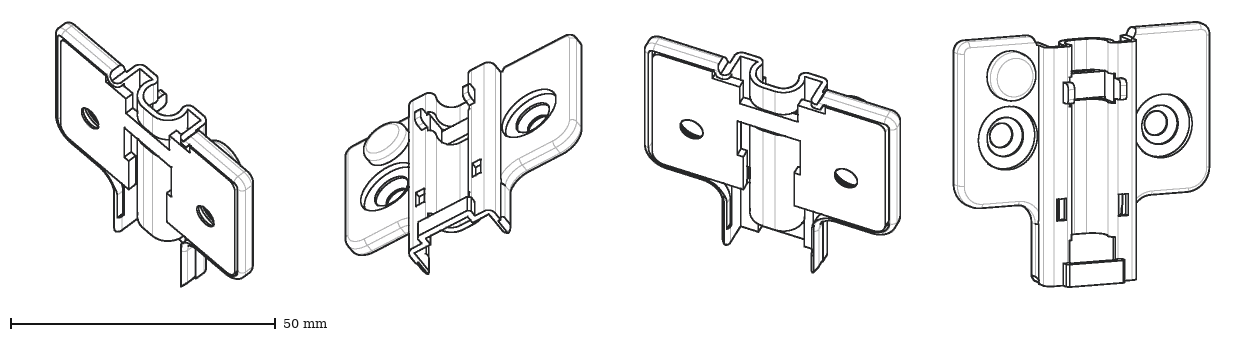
import cadquery as cq
import math

PAN_HALF_WIDTH = 26.0
HEIGHT = 47.5
PAN_DEPTH = 3.55
WALL = 1.15
EDGE_RADIUS = 1.0

PAN_BOTTOM = 15.25
NECK_HALF_WIDTH = 9.95
TOP_CORNER_RADIUS = 2.15
BOTTOM_CORNER_RADIUS = 4.75
NECK_CORNER_RADIUS = 3.8
NECK_OVERRUN = 2.6
NOTCH_RUN = 0.8
NECK_CHAMFER_HEIGHT = 1.3
NECK_CHAMFER_RUN = 0.95
POCKET_DEPTH = 1.8
POCKET_BOTTOM = 4.3

CHANNEL_HALF_WIDTH = 9.55
CHANNEL_INNER = CHANNEL_HALF_WIDTH - WALL
CHANNEL_BACK = 7.0
CHANNEL_TOP = 45.85
CHANNEL_CORNER_RADIUS = 1.5
LIP_RADIUS = 1.35
RAIL_FLOOR = CHANNEL_BACK - WALL
TROUGH_RADIUS = 4.05
TROUGH_FLAT_HALF = 1.25
TROUGH_BOTTOM = 8.55
TROUGH_HALF_WIDTH = TROUGH_FLAT_HALF + TROUGH_RADIUS
FLOOR_RISE = RAIL_FLOOR - TROUGH_RADIUS
FLOOR_EDGE_X = TROUGH_FLAT_HALF + math.sqrt(TROUGH_RADIUS**2 - FLOOR_RISE**2)
LIP_RISE = CHANNEL_BACK - LIP_RADIUS - TROUGH_RADIUS
LIP_REACH = TROUGH_RADIUS - WALL + LIP_RADIUS
LIP_X = TROUGH_FLAT_HALF + math.sqrt(LIP_REACH**2 - LIP_RISE**2)
OPENING_HALF_WIDTH = 4.75

GAP_BOTTOM = 34.25
GAP_TOP = 39.95

WINDOW_INNER = 5.4
WINDOW_OUTER = 7.35
WINDOW_BOTTOM = 12.55

EAR_BACK = 9.3
EAR_THICKNESS = 1.3
EAR_HEIGHT = 3.9
HANDLE_BACK = 8.9
HANDLE_CHAMFER = 0.5

HOLE_DIAMETER = 4.7
HOLE_X = 15.95
HOLE_Z = 28.5
HOLE_LIP = 0.4
COUNTERSINK_DIAMETER = HOLE_DIAMETER + 2 * (POCKET_DEPTH - HOLE_LIP)
PAN_HOLE_DEPTH = 0.45
RELIEF_DIAMETER = 12.15
BOSS_DIAMETER = 9.35
BOSS_X = 15.6
BOSS_Z = 40.55
BOSS_BACK = 6.0

PLATE_HALF_WIDTH = 24.1
PLATE_BOTTOM = 16.7
PLATE_TOP = CHANNEL_TOP
PLATE_TOP_RADIUS = 1.6
PLATE_BOTTOM_RADIUS = 2.4
PLATE_STEP_HALF_WIDTH = 11.65
PLATE_STEP_Z = 44.05
BRIDGE_BOTTOM = 34.65
BRIDGE_TOP = 39.55
PLATE_NOTCH_HALF_WIDTH = 6.05
SLOT_WIDE_HALF = 6.5
SLOT_NARROW_HALF = 5.25
SLOT_STEP_Z = 25.55


def block(x_half, y_range, z_range):
    """Box symmetric in X between the given Y and Z limits."""
    y0, y1 = y_range
    z0, z1 = z_range
    return cq.Workplane("XY").box(2 * x_half, y1 - y0, z1 - z0).translate((0, (y0 + y1) / 2, (z0 + z1) / 2))


def on_both_sides(shape):
    """The shape together with its mirror image across X = 0."""
    return shape.union(shape.mirror("YZ"))


def front_prism(sketch, y0, y1):
    """Extrude a closed outline drawn in X and Z from Y = y0 back to Y = y1."""
    return sketch.extrude(y0 - y1).translate((0, y0, 0))


def arc_point(center, radius, degrees):
    """Point on a circle at an angle measured from the first axis."""
    angle = math.radians(degrees)
    return (center[0] + radius * math.cos(angle), center[1] + radius * math.sin(angle))


def pan_blank(depth, inset=0.0):
    """T-shaped prism with rounded corners that runs on below Z = 0; inset moves every side inward."""
    side = PAN_HALF_WIDTH - inset
    neck = NECK_HALF_WIDTH - inset
    bottom = PAN_BOTTOM + inset
    upper = block(side, (0, depth), (bottom, HEIGHT - inset))
    upper = upper.edges("|Y and >Z").fillet(TOP_CORNER_RADIUS - inset)
    upper = upper.edges("|Y and <Z").fillet(BOTTOM_CORNER_RADIUS - inset)
    blank = upper.union(block(neck, (0, depth), (-NECK_OVERRUN, HEIGHT / 2)))
    zone_half = neck + WALL
    corner_zone = cq.selectors.BoxSelector(
        (-zone_half, 0, bottom - WALL),
        (zone_half, depth, bottom + WALL),
    )
    return blank.edges("|Y").edges(corner_zone).fillet(NECK_CORNER_RADIUS + inset)


def top_notch(widen=0.0, drop=0.0):
    """Trapezoid cut from the top edge above the channel."""
    foot = NECK_HALF_WIDTH + widen
    z_foot = CHANNEL_TOP - drop
    slope = NOTCH_RUN / (HEIGHT - CHANNEL_TOP)
    mouth = foot + slope * (HEIGHT - z_foot)
    corners = [(-mouth, HEIGHT), (-foot, z_foot), (foot, z_foot), (mouth, HEIGHT)]
    return front_prism(cq.Workplane("XZ").polyline(corners).close(), 0, PAN_DEPTH)


def pocket():
    """Recess for the plate, one wall thickness inside the pan outline."""
    slope_angle = math.atan2(NOTCH_RUN, HEIGHT - CHANNEL_TOP)
    widen = WALL * math.tan((math.pi / 2 - slope_angle) / 2)
    recess = pan_blank(POCKET_DEPTH, WALL).cut(top_notch(widen, WALL))
    return recess.cut(block(PAN_HALF_WIDTH, (0, POCKET_DEPTH), (-NECK_OVERRUN, POCKET_BOTTOM)))


def channel_opening():
    """Space between the rails, flared at the front by the rounded inner edges."""
    mouth = CHANNEL_INNER + WALL
    rounding = arc_point((mouth, WALL), WALL, 225)
    half = (
        cq.Workplane("XY")
        .lineTo(mouth, 0)
        .threePointArc(rounding, (CHANNEL_INNER, WALL))
        .lineTo(CHANNEL_INNER, PAN_DEPTH)
        .lineTo(0, PAN_DEPTH)
        .close()
        .extrude(HEIGHT)
    )
    return on_both_sides(half)


def neck_end_chamfer():
    """Wedges that taper the outer sides at the foot of the neck."""
    corners = [
        (NECK_HALF_WIDTH, 0),
        (NECK_HALF_WIDTH - NECK_CHAMFER_RUN, 0),
        (NECK_HALF_WIDTH, NECK_CHAMFER_HEIGHT),
    ]
    wedge = cq.Workplane("XZ").polyline(corners).close()
    return on_both_sides(front_prism(wedge, 0, PAN_DEPTH))


def neck_sides():
    """Sides of the neck, whose back rounding ends where it meets the channel wall."""
    step = NECK_HALF_WIDTH - CHANNEL_HALF_WIDTH
    center_x = NECK_HALF_WIDTH - EDGE_RADIUS
    rise = math.sqrt(EDGE_RADIUS**2 - (EDGE_RADIUS - step) ** 2)
    center = (center_x, PAN_DEPTH - rise)
    end_angle = math.degrees(math.atan2(rise, EDGE_RADIUS - step))
    side = (
        cq.Workplane("XY")
        .moveTo(CHANNEL_INNER, EDGE_RADIUS)
        .lineTo(NECK_HALF_WIDTH, EDGE_RADIUS)
        .lineTo(NECK_HALF_WIDTH, center[1])
        .threePointArc(arc_point(center, EDGE_RADIUS, end_angle / 2), (CHANNEL_HALF_WIDTH, PAN_DEPTH))
        .lineTo(CHANNEL_INNER, PAN_DEPTH)
        .close()
        .extrude(PAN_BOTTOM - NECK_CORNER_RADIUS)
    )
    return on_both_sides(side)


def pan_holes():
    """Stepped round openings behind the screw holes, wider at the back."""
    centers = cq.Workplane("XZ").pushPoints([(-HOLE_X, HOLE_Z), (HOLE_X, HOLE_Z)])
    step = POCKET_DEPTH + PAN_HOLE_DEPTH
    holes = front_prism(centers.circle(COUNTERSINK_DIAMETER / 2), POCKET_DEPTH, step)
    return holes.union(front_prism(centers.circle(RELIEF_DIAMETER / 2), step, PAN_DEPTH))


def pan():
    """Shallow pan with a rounded rim, a neck and a recess for the plate."""
    body = pan_blank(PAN_DEPTH)
    body = body.faces("<Y or >Y").edges().fillet(EDGE_RADIUS)
    body = body.cut(block(NECK_HALF_WIDTH, (0, PAN_DEPTH), (-NECK_OVERRUN, 0)))
    body = body.union(neck_sides())
    return body.cut(top_notch()).cut(pocket()).cut(channel_opening()).cut(pan_holes())


def channel():
    """Box rails and trough, with the gap for the bridge and the open lower end cut out."""
    center = (TROUGH_FLAT_HALF, TROUGH_RADIUS)
    inner_radius = TROUGH_RADIUS - WALL
    floor_angle = math.degrees(math.asin(FLOOR_RISE / TROUGH_RADIUS))
    lip_angle = math.degrees(math.asin(LIP_RISE / LIP_REACH))
    corner_y = CHANNEL_BACK - CHANNEL_CORNER_RADIUS
    lip_center = (LIP_X, CHANNEL_BACK - LIP_RADIUS)
    corner_center = (CHANNEL_HALF_WIDTH - CHANNEL_CORNER_RADIUS, corner_y)
    half = (
        cq.Workplane("XY")
        .lineTo(TROUGH_FLAT_HALF, 0)
        .threePointArc(arc_point(center, TROUGH_RADIUS, (floor_angle - 90) / 2), (FLOOR_EDGE_X, RAIL_FLOOR))
        .lineTo(CHANNEL_INNER, RAIL_FLOOR)
        .lineTo(CHANNEL_INNER, POCKET_DEPTH)
        .lineTo(CHANNEL_HALF_WIDTH, POCKET_DEPTH)
        .lineTo(CHANNEL_HALF_WIDTH, corner_y)
        .threePointArc(arc_point(corner_center, CHANNEL_CORNER_RADIUS, 45), (corner_center[0], CHANNEL_BACK))
        .lineTo(LIP_X, CHANNEL_BACK)
        .threePointArc(
            arc_point(lip_center, LIP_RADIUS, 135),
            arc_point(center, inner_radius, lip_angle),
        )
        .threePointArc(arc_point(center, inner_radius, (lip_angle - 90) / 2), (TROUGH_FLAT_HALF, WALL))
        .lineTo(0, WALL)
        .close()
        .extrude(CHANNEL_TOP)
    )
    body = on_both_sides(half)
    body = body.cut(block(OPENING_HALF_WIDTH, (0, CHANNEL_BACK), (GAP_BOTTOM, GAP_TOP)))
    body = body.cut(block(OPENING_HALF_WIDTH, (0, CHANNEL_BACK), (0, TROUGH_BOTTOM)))
    body = body.cut(block(TROUGH_HALF_WIDTH, (0, RAIL_FLOOR), (0, TROUGH_BOTTOM)))
    return body.cut(rail_windows())


def rail_windows():
    """Rectangular openings just below the plate, one in each rail floor."""
    y_range = (RAIL_FLOOR, CHANNEL_BACK)
    z_range = (WINDOW_BOTTOM, PLATE_BOTTOM)
    return block(WINDOW_OUTER, y_range, z_range).cut(block(WINDOW_INNER, y_range, z_range))


def ears():
    """Rounded lugs on the back of the rails, centred on the gap in the trough."""
    middle = (GAP_BOTTOM + GAP_TOP) / 2
    z_range = (middle - EAR_HEIGHT / 2, middle + EAR_HEIGHT / 2)
    outer = block(OPENING_HALF_WIDTH + EAR_THICKNESS, (RAIL_FLOOR, EAR_BACK), z_range)
    outer = outer.edges("|X and >Y").fillet(EDGE_RADIUS)
    return outer.cut(block(OPENING_HALF_WIDTH, (RAIL_FLOOR, EAR_BACK), z_range))


def handle():
    """Bar bridging the back of the channel at its lower end."""
    z_range = (0, POCKET_BOTTOM)
    outer = block(OPENING_HALF_WIDTH + EAR_THICKNESS, (RAIL_FLOOR, HANDLE_BACK), z_range)
    outer = outer.edges("|Z and >Y").chamfer(HANDLE_CHAMFER)
    return outer.cut(block(OPENING_HALF_WIDTH, (RAIL_FLOOR, HANDLE_BACK - EAR_THICKNESS), z_range))


def boss():
    """Round pad on the back of the pan."""
    disc = cq.Workplane("XZ").center(BOSS_X, BOSS_Z).circle(BOSS_DIAMETER / 2)
    return front_prism(disc, POCKET_DEPTH, BOSS_BACK).faces(">Y").edges().fillet(EDGE_RADIUS)


def make_housing():
    body = pan().union(channel()).cut(neck_end_chamfer())
    return body.union(ears()).union(handle()).union(boss())


def screw_hole():
    """Round hole about the Y axis with a 45 degree countersink at the back of the plate."""
    return (
        cq.Workplane("XY")
        .lineTo(HOLE_DIAMETER / 2, 0)
        .lineTo(HOLE_DIAMETER / 2, HOLE_LIP)
        .lineTo(COUNTERSINK_DIAMETER / 2, POCKET_DEPTH)
        .lineTo(0, POCKET_DEPTH)
        .close()
        .revolve(360, (0, 0), (0, 1))
    )


def make_plate():
    """Flat plate whose two halves are joined by a bridge across the trough."""
    plate = block(PLATE_HALF_WIDTH, (0, POCKET_DEPTH), (PLATE_BOTTOM, PLATE_TOP))
    plate = plate.edges("|Y and >Z").fillet(PLATE_TOP_RADIUS)
    plate = plate.edges("|Y and <Z").fillet(PLATE_BOTTOM_RADIUS)
    openings = [
        (PLATE_STEP_HALF_WIDTH, PLATE_STEP_Z, PLATE_TOP),
        (PLATE_NOTCH_HALF_WIDTH, BRIDGE_TOP, PLATE_TOP),
        (SLOT_WIDE_HALF, SLOT_STEP_Z, BRIDGE_BOTTOM),
        (SLOT_NARROW_HALF, PLATE_BOTTOM, BRIDGE_BOTTOM),
    ]
    for half_width, z0, z1 in openings:
        plate = plate.cut(block(half_width, (0, POCKET_DEPTH), (z0, z1)))
    for x in (-HOLE_X, HOLE_X):
        plate = plate.cut(screw_hole().translate((x, 0, HOLE_Z)))
    return plate


housing = make_housing()
plate = make_plate()
result = cq.Compound.makeCompound([housing.solids().val(), plate.solids().val()])